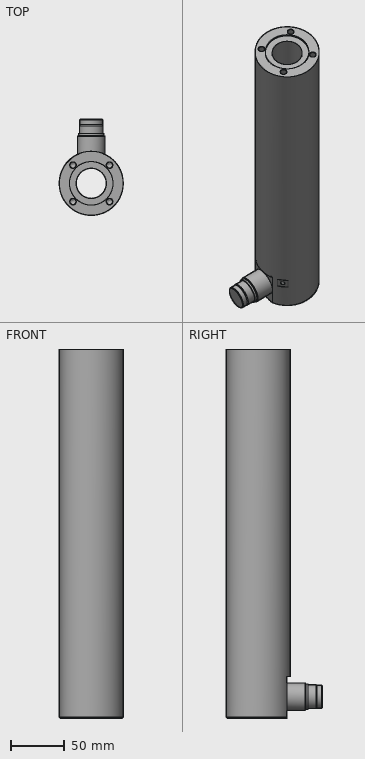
import cadquery as cq
import math

length = 345.0
outer_radius = 30.0
bore_radius = 28.0 / 2
bottom_chamfer = 1.0

seat_radius = 20.5
seat_depth = 1.7
screw_circle_radius = 24.0
screw_hole_radius = 2.8
screw_hole_chamfer = 0.5
screw_hole_depth = 10.5
screw_count = 4

flat_y = 27.0
flat_height = 39.0

root_radius = 26.0 / 2
root_bottom_z = 7.2
connector_z = root_bottom_z + root_radius
connector_end_y = 60.0
root_taper_length = 0.7
root_end_y = 43.8
collar_radius = 12.0
collar_end_y = 46.5
sleeve_radius = 22.5 / 2
sleeve_end_y = 53.8
sleeve_taper_length = 1.0
tip_radius = 21.7 / 2
tip_chamfer = 0.7
connector_embed = 3.5

pad_size = 10.0
pad_z = 33.8
pad_angle = 135.0
pad_hole_radius = 1.7
pad_hole_chamfer = 0.5
pad_hole_depth = 7.0

drill_point_angle = 118.0


def drilled_hole(radius, depth, chamfer):
    """Cutter for a blind hole going down from the origin, with a chamfered mouth and a drill point."""
    point_height = radius / math.tan(math.radians(drill_point_angle / 2))
    return (
        cq.Workplane("XZ")
        .lineTo(radius + chamfer, 0)
        .lineTo(radius, -chamfer)
        .lineTo(radius, -depth)
        .lineTo(0, -depth - point_height)
        .close()
        .revolve(360, (0, 0), (0, 1))
    )


def make_tube():
    tube = cq.Workplane("XY").circle(outer_radius).extrude(length)
    tube = tube.faces("<Z").chamfer(bottom_chamfer)
    flat_cutter = cq.Workplane("XY").box(
        2 * outer_radius, outer_radius, flat_height, centered=(True, False, False)
    )
    return tube.cut(flat_cutter.translate((0, flat_y, 0)))


def make_connector():
    """Stepped plug, drawn as (radius, y) and turned about its own axis."""
    start_y = flat_y - connector_embed
    return (
        cq.Workplane("XY")
        .moveTo(0, start_y)
        .lineTo(root_radius, start_y)
        .lineTo(root_radius, root_end_y)
        .lineTo(collar_radius, root_end_y + root_taper_length)
        .lineTo(collar_radius, collar_end_y)
        .lineTo(sleeve_radius, collar_end_y)
        .lineTo(sleeve_radius, sleeve_end_y)
        .lineTo(tip_radius, sleeve_end_y + sleeve_taper_length)
        .lineTo(tip_radius, connector_end_y - tip_chamfer)
        .lineTo(tip_radius - tip_chamfer, connector_end_y)
        .lineTo(0, connector_end_y)
        .close()
        .revolve(360, (0, 0), (0, 1))
        .translate((0, 0, connector_z))
    )


def cut_top_end(body):
    seat = cq.Workplane("XY").workplane(offset=length - seat_depth).circle(seat_radius).extrude(seat_depth)
    body = body.cut(seat)
    hole = drilled_hole(screw_hole_radius, screw_hole_depth, screw_hole_chamfer)
    hole = hole.translate((screw_circle_radius, 0, length))
    for index in range(screw_count):
        angle = (index + 0.5) * 360 / screw_count
        body = body.cut(hole.rotate((0, 0, 0), (0, 0, 1), angle))
    return body


def cut_pad(body):
    """Mill the square flat and drill its hole, made on +X and turned into place."""
    pad_x = math.sqrt(outer_radius**2 - (pad_size / 2) ** 2)
    mill = cq.Workplane("XY").box(pad_size, pad_size, pad_size, centered=(False, True, True))
    hole = drilled_hole(pad_hole_radius, pad_hole_depth, pad_hole_chamfer).rotate((0, 0, 0), (0, 1, 0), 90)
    cutter = mill.union(hole).translate((pad_x, 0, pad_z))
    return body.cut(cutter.rotate((0, 0, 0), (0, 0, 1), pad_angle))


body = cut_pad(cut_top_end(make_tube())).union(make_connector())
bore = cq.Workplane("XY").circle(bore_radius).extrude(length)
result = body.cut(bore)